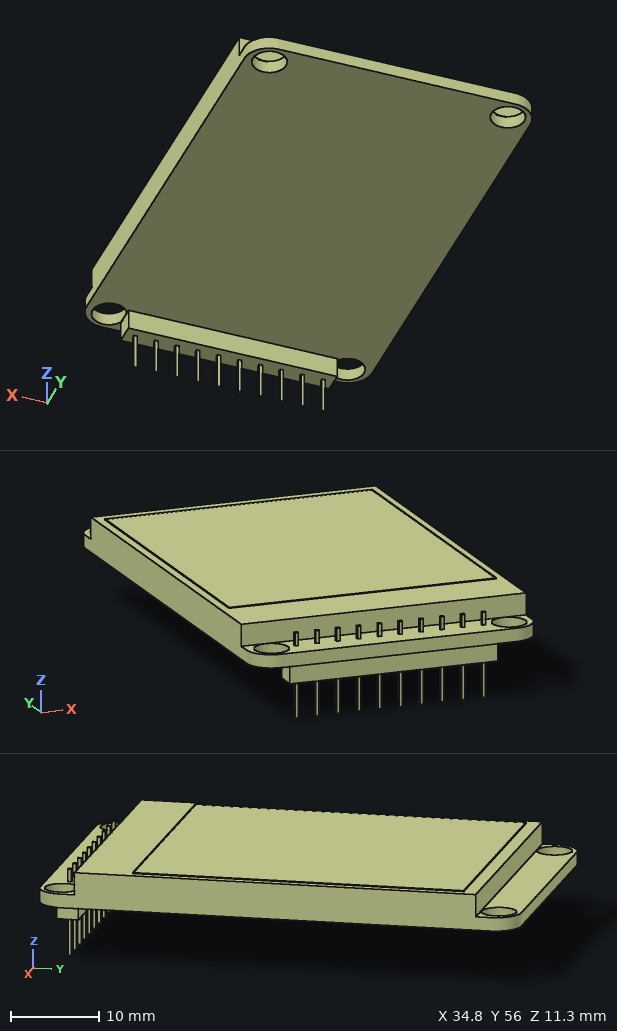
import cadquery as cq

BOARD_WIDTH = 34.8
BOARD_LENGTH = 56.0
BOARD_THICKNESS = 1.6
CORNER_RADIUS = 3.0

HOLE_DIAMETER = 4.0
HOLE_SPACING_X = 29.0
HOLE_SPACING_Y = 50.8

DISPLAY_LENGTH = 46.7
DISPLAY_HEIGHT = 2.6
SCREEN_WIDTH = 32.6
SCREEN_LENGTH = 38.5
SCREEN_HEIGHT = 0.1
SCREEN_TOP_MARGIN = 1.65

PIN_COUNT = 10
PIN_PITCH = 2.54
PIN_SIDE = 0.4
PIN_RISE = 1.5
PIN_EDGE_OFFSET = 2.8
HEADER_DEPTH = PIN_PITCH
HEADER_HEIGHT = PIN_PITCH
OVERALL_HEIGHT = 11.3

DISPLAY_TOP = BOARD_THICKNESS + DISPLAY_HEIGHT
PIN_TOP = BOARD_THICKNESS + PIN_RISE
PIN_BOTTOM = DISPLAY_TOP + SCREEN_HEIGHT - OVERALL_HEIGHT
PIN_ROW_Y = PIN_EDGE_OFFSET - BOARD_LENGTH / 2


def block(width, length, bottom, top, x=0.0, y=0.0):
    """Box centred at (x, y) and spanning the heights bottom to top."""
    return (
        cq.Workplane("XY")
        .box(width, length, top - bottom, centered=(True, True, False))
        .translate((x, y, bottom))
    )


def make_board():
    """Round-cornered board with four through mounting holes."""
    return (
        block(BOARD_WIDTH, BOARD_LENGTH, 0, BOARD_THICKNESS)
        .edges("|Z")
        .fillet(CORNER_RADIUS)
        .faces(">Z")
        .workplane()
        .rect(HOLE_SPACING_X, HOLE_SPACING_Y, forConstruction=True)
        .vertices()
        .hole(HOLE_DIAMETER)
    )


def make_display():
    """Display module with its screen raised slightly above it."""
    module = block(BOARD_WIDTH, DISPLAY_LENGTH, BOARD_THICKNESS, DISPLAY_TOP)
    screen_y = (DISPLAY_LENGTH - SCREEN_LENGTH) / 2 - SCREEN_TOP_MARGIN
    screen = block(
        SCREEN_WIDTH, SCREEN_LENGTH, DISPLAY_TOP, DISPLAY_TOP + SCREEN_HEIGHT, y=screen_y
    )
    return module.union(screen)


def make_header_position(index):
    """One square header block under the board with a square pin through it."""
    pin_x = (index - (PIN_COUNT - 1) / 2) * PIN_PITCH
    body = block(PIN_PITCH, HEADER_DEPTH, -HEADER_HEIGHT, 0, pin_x, PIN_ROW_Y)
    pin = block(PIN_SIDE, PIN_SIDE, PIN_BOTTOM, PIN_TOP, pin_x, PIN_ROW_Y)
    return body.union(pin)


result = make_board().union(make_display(), clean=False)
for position in range(PIN_COUNT):
    result = result.union(make_header_position(position), clean=False)